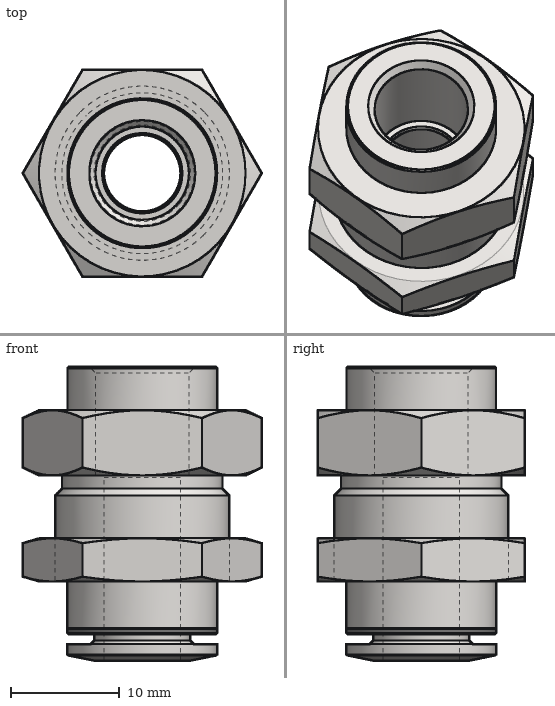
import cadquery as cq
import math

TOTAL_HEIGHT = 27.0
HEX_ACROSS_FLATS = 19.0
HEX_ACROSS_CORNERS = HEX_ACROSS_FLATS / math.cos(math.radians(30))

COLLAR_BOTTOM = 17.0
COLLAR_HEIGHT = 6.0
COLLAR_FACE_DIAMETER = 18.95
COLLAR_CHAMFER_HEIGHT = 0.73

NUT_BOTTOM = 7.25
NUT_HEIGHT = 4.0
NUT_FACE_DIAMETER = 18.85
NUT_CHAMFER_HEIGHT = 0.45

UPPER_END_DIAMETER = 13.77
LOWER_END_DIAMETER = 13.8
TOP_CHAMFER = 0.15
RELIEF_DIAMETER = 14.77
RELIEF_BOTTOM = 15.8
THREAD_DIAMETER = 16.0
THREAD_CHAMFER = (THREAD_DIAMETER - RELIEF_DIAMETER) / 2
BARREL_BOTTOM = 2.43
BARREL_CHAMFER = 0.15
GROOVE_BOTTOM = 2.9
GROOVE_WIDTH = 0.1
GROOVE_DEPTH = 0.08

NECK_DIAMETER = 8.85
NECK_CHAMFER = 0.32
BUTTON_TOP = 1.55
BUTTON_DIAMETER = 13.8
BUTTON_CONE_HEIGHT = 0.49
BUTTON_EDGE_CHAMFER = 0.1
BUTTON_FACE_DIAMETER = 8.8

BORE_DIAMETER = 7.0
BORE_CHAMFER = 0.2
SOCKET_DIAMETER = 8.55
SOCKET_DEPTH = 10.0
SOCKET_MOUTH_DIAMETER = 9.75
SOCKET_CHAMFER = (SOCKET_MOUTH_DIAMETER - SOCKET_DIAMETER) / 2


def revolve_profile(points):
    """Revolve a closed outline of (radius, height) points about Z."""
    return cq.Workplane("XZ").polyline(points).close().revolve(360, (0, 0), (0, 1))


def chamfered_hexagon(bottom, height, face_diameter, chamfer_height):
    """Hexagonal prism whose corners are trimmed by a cone at both ends."""
    top = bottom + height
    face_radius = face_diameter / 2
    corner_radius = HEX_ACROSS_CORNERS / 2
    prism = cq.Workplane("XY").workplane(offset=bottom).polygon(6, HEX_ACROSS_CORNERS).extrude(height)
    envelope = revolve_profile([
        (0, bottom),
        (face_radius, bottom),
        (corner_radius, bottom + chamfer_height),
        (corner_radius, top - chamfer_height),
        (face_radius, top),
        (0, top),
    ])
    return prism.intersect(envelope)


def make_barrel():
    """Turned outside of the fitting, from the release button to the upper end."""
    upper_radius = UPPER_END_DIAMETER / 2
    lower_radius = LOWER_END_DIAMETER / 2
    neck_radius = NECK_DIAMETER / 2
    thread_radius = THREAD_DIAMETER / 2
    relief_radius = RELIEF_DIAMETER / 2
    button_radius = BUTTON_DIAMETER / 2
    groove_radius = lower_radius - GROOVE_DEPTH
    groove_top = GROOVE_BOTTOM + GROOVE_WIDTH
    return revolve_profile([
        (0, 0),
        (BUTTON_FACE_DIAMETER / 2, 0),
        (button_radius - BUTTON_EDGE_CHAMFER, BUTTON_CONE_HEIGHT),
        (button_radius, BUTTON_CONE_HEIGHT + BUTTON_EDGE_CHAMFER),
        (button_radius, BUTTON_TOP),
        (neck_radius + NECK_CHAMFER, BUTTON_TOP),
        (neck_radius, BUTTON_TOP + NECK_CHAMFER),
        (neck_radius, BARREL_BOTTOM),
        (lower_radius - BARREL_CHAMFER, BARREL_BOTTOM),
        (lower_radius, BARREL_BOTTOM + BARREL_CHAMFER),
        (lower_radius, GROOVE_BOTTOM),
        (groove_radius, GROOVE_BOTTOM),
        (groove_radius, groove_top),
        (lower_radius, groove_top),
        (lower_radius, NUT_BOTTOM),
        (thread_radius, NUT_BOTTOM),
        (thread_radius, RELIEF_BOTTOM - THREAD_CHAMFER),
        (relief_radius, RELIEF_BOTTOM),
        (relief_radius, COLLAR_BOTTOM),
        (upper_radius, COLLAR_BOTTOM),
        (upper_radius, TOTAL_HEIGHT - TOP_CHAMFER),
        (upper_radius - TOP_CHAMFER, TOTAL_HEIGHT),
        (0, TOTAL_HEIGHT),
    ])


def make_bore():
    """Stepped through bore with a countersunk socket at the upper end."""
    bore_radius = BORE_DIAMETER / 2
    socket_radius = SOCKET_DIAMETER / 2
    socket_floor = TOTAL_HEIGHT - SOCKET_DEPTH
    return revolve_profile([
        (0, 0),
        (bore_radius, 0),
        (bore_radius, socket_floor - BORE_CHAMFER),
        (bore_radius + BORE_CHAMFER, socket_floor),
        (socket_radius, socket_floor),
        (socket_radius, TOTAL_HEIGHT - SOCKET_CHAMFER),
        (SOCKET_MOUTH_DIAMETER / 2, TOTAL_HEIGHT),
        (0, TOTAL_HEIGHT),
    ])


def make_fitting():
    """Bulkhead fitting with its hexagon collar and stepped bore."""
    collar = chamfered_hexagon(COLLAR_BOTTOM, COLLAR_HEIGHT, COLLAR_FACE_DIAMETER, COLLAR_CHAMFER_HEIGHT)
    return make_barrel().union(collar).cut(make_bore())


def make_nut():
    """Hexagon nut seated on the threaded length of the fitting."""
    blank = chamfered_hexagon(NUT_BOTTOM, NUT_HEIGHT, NUT_FACE_DIAMETER, NUT_CHAMFER_HEIGHT)
    return blank.faces(">Z").workplane().hole(THREAD_DIAMETER)


fitting = make_fitting()
nut = make_nut()

result = cq.Compound.makeCompound([fitting.solids().val(), nut.solids().val()])